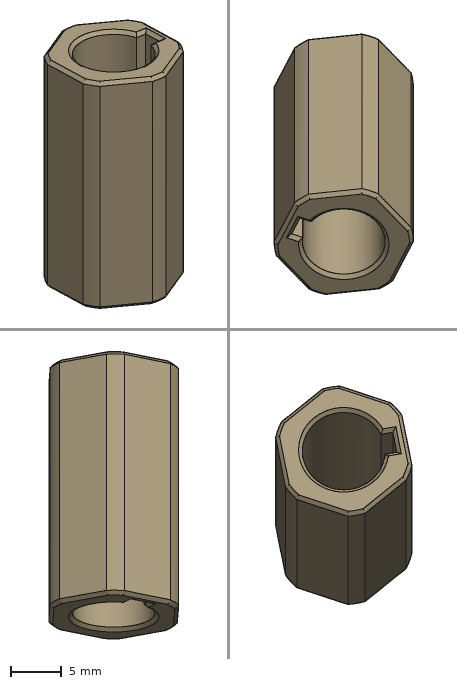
import cadquery as cq
import math

length = 25.4
across_flats = 12.65
corner_diameter = 13.72
edge_chamfer = 0.38

bore_diameter = 8.13
keyway_width = 2.13
keyway_top = 5.1


def hexagonal_body():
    """Hexagon with flats facing +Y and -Y, its corners turned to a cylinder."""
    across_corners = across_flats / math.cos(math.pi / 6)
    hexagon = cq.Workplane("XY").polygon(6, across_corners).extrude(length)
    turned_bar = cq.Workplane("XY").circle(corner_diameter / 2).extrude(length)
    return hexagon.intersect(turned_bar)


def keyed_bore():
    """Solid removed for the through bore and the keyway on its +Y side."""
    bore = cq.Workplane("XY").circle(bore_diameter / 2).extrude(length)
    keyway = (
        cq.Workplane("XY")
        .center(0, keyway_top / 2)
        .rect(keyway_width, keyway_top)
        .extrude(length)
    )
    return bore.union(keyway)


result = hexagonal_body().cut(keyed_bore()).faces("<Z or >Z").edges().chamfer(edge_chamfer)